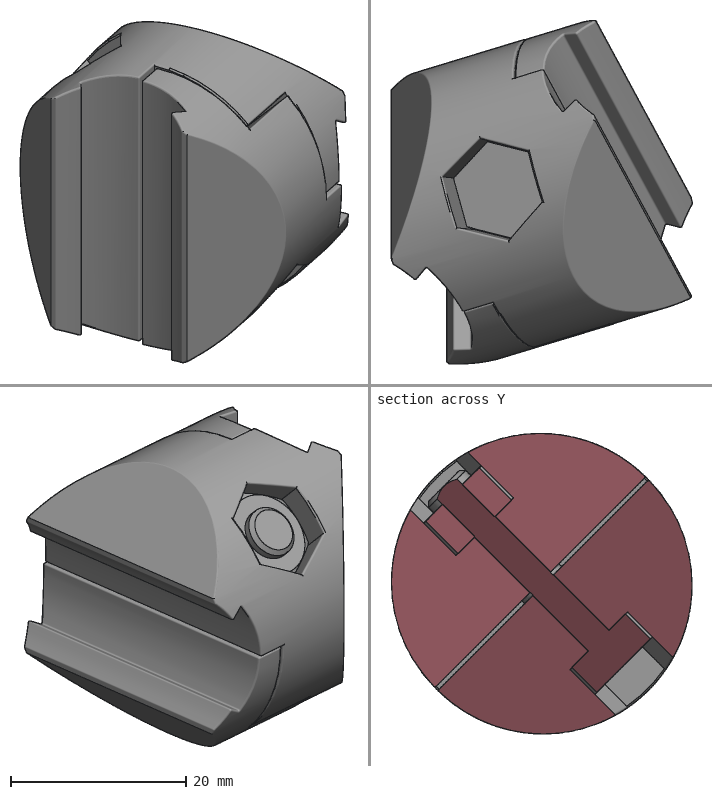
import cadquery as cq
import math

JAW_RADIUS = 17.0
LENGTH = 27.5
HALF_LENGTH = LENGTH / 2
SLOPE_REACH = 22.35
EDGE_FILLET = 0.2

SEAT_CENTRE = 21.65
SEAT_RADIUS = 13.25
LIP_RADIUS = 11.2
LIP_ANGLE = 30.0

STEP_HEIGHT = 4.7
JAW_OFFSET = 0.16

POCKET_FLOOR = 9.0
POCKET_FLATS = 10.5
BEARING = POCKET_FLOOR + JAW_OFFSET * math.sqrt(2)
BOLT_DIAMETER = 6.0
BOLT_RADIUS = BOLT_DIAMETER / 2
BOLT_LENGTH = 25.0
BOLT_TIP_CHAMFER = 0.5
HEX_FLATS = 10.0
HEAD_HEIGHT = 4.0
NUT_HEIGHT = 5.2
NUT_CROWN_DIAMETER = 9.9
NUT_CROWN_ANGLE = 30.0

CORNERS_PER_FLATS = 2 / math.sqrt(3)
BEYOND = 2 * JAW_RADIUS
TOLERANCE = 1e-6
BOLT_DIRECTION = (-1, 0, 1)
ORIGIN = (0, 0, 0)


def bolt_plane(distance):
    """Plane square to the bolt axis, its local X along the clamp's Y axis."""
    side = distance / math.sqrt(2)
    return cq.Plane(origin=(-side, 0, side), xDir=(0, 1, 0), normal=BOLT_DIRECTION)


def bolt_cylinder(distance, height):
    return cq.Workplane(bolt_plane(distance)).circle(BOLT_RADIUS).extrude(height)


def hexagon(distance, flats, height):
    """Hexagonal prism along the bolt axis, two of its flats square to the Y axis."""
    flats_along_y = bolt_plane(distance).rotated((0, 0, 30))
    return cq.Workplane(flats_along_y).polygon(6, flats * CORNERS_PER_FLATS).extrude(height)


def end_swap(shape):
    """Half turn about the bolt axis, which swaps the two ends of the clamp."""
    return shape.rotate(ORIGIN, BOLT_DIRECTION, 180)


def seat_point(radius, angle):
    """Point of the tube seat as (across, y), at an angle in degrees from the Y axis."""
    turn = math.radians(angle)
    return radius * math.sin(turn), radius * math.cos(turn) - SEAT_CENTRE


def end_block():
    """Block along Z whose -Y end has the 45 degree slopes and the lipped tube seat."""
    tip_angle = math.degrees(math.acos((SEAT_CENTRE - HALF_LENGTH) / LIP_RADIUS))
    tip_in = seat_point(LIP_RADIUS, tip_angle)
    tip_out = (SLOPE_REACH - HALF_LENGTH, -HALF_LENGTH)
    lip_middle = seat_point(LIP_RADIUS, (LIP_ANGLE + tip_angle) / 2)
    lip_in = seat_point(LIP_RADIUS, LIP_ANGLE)
    lip_out = seat_point(SEAT_RADIUS, LIP_ANGLE)
    seat_bottom = seat_point(SEAT_RADIUS, 0)
    slope_end = (BEYOND, BEYOND - SLOPE_REACH)

    def mirrored(point):
        return -point[0], point[1]

    return (
        cq.Workplane("XY")
        .moveTo(*slope_end)
        .lineTo(*tip_out)
        .lineTo(*tip_in)
        .threePointArc(lip_middle, lip_in)
        .lineTo(*lip_out)
        .threePointArc(seat_bottom, mirrored(lip_out))
        .lineTo(*mirrored(lip_in))
        .threePointArc(mirrored(lip_middle), mirrored(tip_in))
        .lineTo(*mirrored(tip_out))
        .lineTo(*mirrored(slope_end))
        .lineTo(-BEYOND, BEYOND)
        .lineTo(BEYOND, BEYOND)
        .close()
        .extrude(BEYOND, both=True)
    )


def jaw_zone():
    """Space on one side of the stepped split: -X at the -Y end, diagonal between, +Z at the +Y end."""
    low = (
        cq.Workplane("XY")
        .box(BEYOND, BEYOND, 2 * BEYOND, centered=(False, False, True))
        .translate((-BEYOND, -BEYOND - STEP_HEIGHT, 0))
    )
    middle = cq.Workplane(bolt_plane(0)).rect(2 * STEP_HEIGHT, 2 * BEYOND).extrude(BEYOND)
    return low.union(middle).union(end_swap(low))


def outside_edges(body):
    """Edges that bound the round outside of a jaw, the pocket mouth included."""
    edges = set()
    for face in body.faces("%CYLINDER").vals():
        corner_radii = [math.hypot(vertex.X, vertex.Z) for vertex in face.Vertices()]
        if all(abs(radius - JAW_RADIUS) < TOLERANCE for radius in corner_radii):
            edges.update(face.Edges())
    return list(edges)


def jaw():
    """The jaw on the (-X, +Z) side, before it is moved outward, with its pocket and bolt hole."""
    end = end_block()
    body = (
        cq.Workplane("XZ")
        .circle(JAW_RADIUS)
        .extrude(HALF_LENGTH, both=True)
        .intersect(end)
        .intersect(end_swap(end))
        .intersect(jaw_zone())
        .cut(hexagon(POCKET_FLOOR, POCKET_FLATS, BEYOND))
        .cut(bolt_cylinder(-BEYOND, 2 * BEYOND))
    )
    return body.newObject(outside_edges(body)).fillet(EDGE_FILLET)


def nut_crown_cone():
    """Cone frustum that trims the corners of the nut to its round top."""
    crown_radius = NUT_CROWN_DIAMETER / 2
    spread = NUT_HEIGHT / math.tan(math.radians(NUT_CROWN_ANGLE))
    return (
        cq.Workplane(bolt_plane(BEARING))
        .circle(crown_radius + spread)
        .workplane(offset=NUT_HEIGHT)
        .circle(crown_radius)
        .loft()
    )


def make_nut():
    blank = hexagon(BEARING, HEX_FLATS, NUT_HEIGHT)
    return blank.intersect(nut_crown_cone()).cut(bolt_cylinder(BEARING, NUT_HEIGHT))


def make_bolt():
    tip = cq.selectors.DirectionMinMaxSelector(cq.Vector(*BOLT_DIRECTION))
    shank = bolt_cylinder(-BEARING, BOLT_LENGTH).faces(tip).chamfer(BOLT_TIP_CHAMFER)
    head = hexagon(-BEARING - HEAD_HEIGHT, HEX_FLATS, HEAD_HEIGHT)
    return shank.union(head)


first_jaw = jaw().translate((-JAW_OFFSET, 0, JAW_OFFSET))
jaws = [first_jaw.rotate(ORIGIN, (0, 1, 0), turn).val() for turn in (0, 180)]
nut = make_nut()
bolt = make_bolt()

result = cq.Compound.makeCompound([*jaws, bolt.val(), nut.val()])